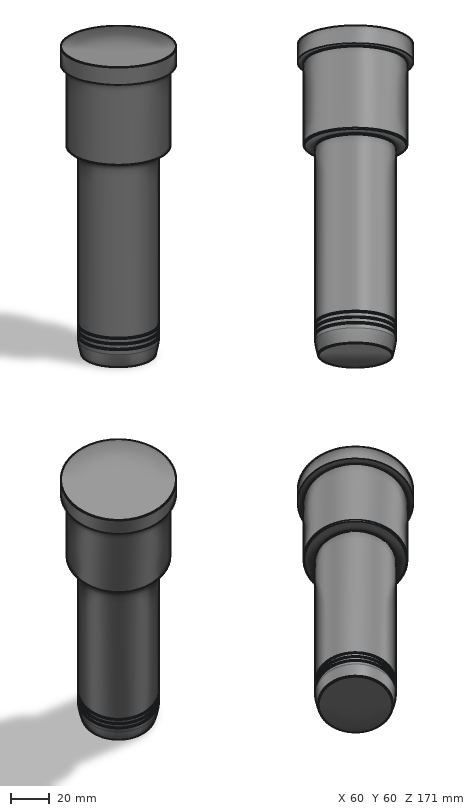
import cadquery as cq

total_length = 171.0
head_radius = 30.01
head_height = 10.0
head_chamfer = 0.3
collar_radius = 27.0
collar_bottom_z = 115.0
collar_chamfer = 0.7
shaft_radius = 21.0

relief_depth = 0.5
relief_height = 1.0

tip_height = 8.0
tip_radius = 19.5
tip_bulge = 0.2
tip_chamfer = 0.5

groove_count = 3
groove_first_z = 10.8
groove_pitch = 3.0
groove_width = 1.0
groove_depth = 0.5

head_bottom_z = total_length - head_height


def cylinder(radius, bottom_z, top_z):
    return cq.Workplane("XY").workplane(offset=bottom_z).circle(radius).extrude(top_z - bottom_z)


def revolve_profile(profile):
    return profile.close().revolve(360, (0, 0, 0), (0, 1, 0))


def collar_relief_cutter():
    """Ring with a straight upper half and a lower half sloping out to the collar."""
    bottom_z = head_bottom_z - relief_height
    neck_radius = collar_radius - relief_depth
    profile = (
        cq.Workplane("XZ")
        .moveTo(collar_radius, bottom_z)
        .lineTo(neck_radius, bottom_z + relief_height / 2)
        .lineTo(neck_radius, head_bottom_z)
        .lineTo(collar_radius, head_bottom_z)
    )
    return revolve_profile(profile)


def groove_cutter(middle_z):
    """V-shaped ring with its point toward the shaft axis."""
    profile = (
        cq.Workplane("XZ")
        .moveTo(shaft_radius, middle_z - groove_width / 2)
        .lineTo(shaft_radius - groove_depth, middle_z)
        .lineTo(shaft_radius, middle_z + groove_width / 2)
    )
    return revolve_profile(profile)


def make_head():
    return cylinder(head_radius, head_bottom_z, total_length).faces(">Z").chamfer(head_chamfer)


def make_collar():
    collar = cylinder(collar_radius, collar_bottom_z, head_bottom_z)
    collar = collar.faces("<Z").chamfer(collar_chamfer)
    return collar.cut(collar_relief_cutter())


def make_shaft():
    """Revolve the shaft with its convex tip and stepped relief, then cut the grooves."""
    middle_radius = (shaft_radius + tip_radius) / 2 + tip_bulge
    middle_z = (tip_height + tip_chamfer) / 2
    profile = (
        cq.Workplane("XZ")
        .lineTo(tip_radius - tip_chamfer, 0)
        .lineTo(tip_radius, tip_chamfer)
        .threePointArc((middle_radius, middle_z), (shaft_radius, tip_height))
        .lineTo(shaft_radius, collar_bottom_z - relief_height)
        .lineTo(shaft_radius - relief_depth, collar_bottom_z - relief_height)
        .lineTo(shaft_radius - relief_depth, collar_bottom_z)
        .lineTo(0, collar_bottom_z)
    )
    shaft = revolve_profile(profile)
    for index in range(groove_count):
        shaft = shaft.cut(groove_cutter(groove_first_z + index * groove_pitch))
    return shaft


result = make_shaft().union(make_collar()).union(make_head())